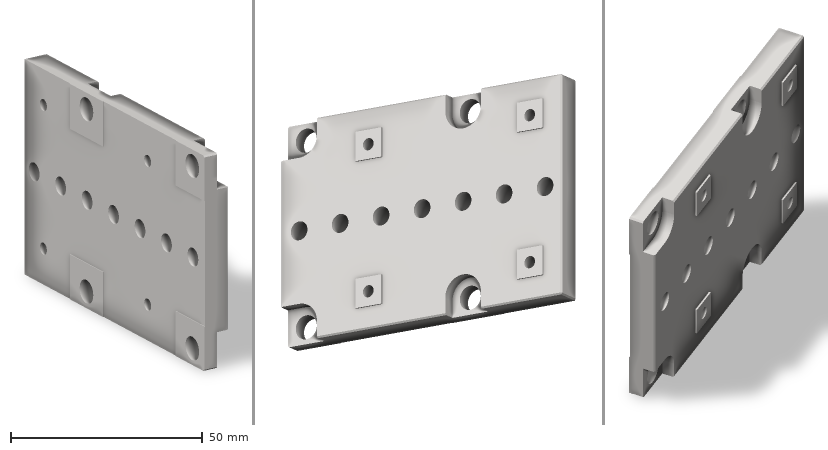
import cadquery as cq

length = 87.0
height = 60.0
total_depth = 8.0
pad_height = 0.2
boss_height = 0.5
plate_depth = total_depth - pad_height - boss_height
edge_chamfer = 0.4

pitch = 12.7
row_count = 7
first_hole_x = 5.05
row_diameter = 5.1

mount_diameter = 6.5
mount_z = 2 * pitch
inner_mount_x = first_hole_x + 2 * pitch
outer_mount_x = first_hole_x + 6 * pitch
recess_diameter = 11.05
recess_depth = 3.5
pad_width = 16.0
pad_length = 12.5

small_diameter = 3.3
small_x = 9.5
small_spacing_x = 50.0
small_z = 20.0
boss_side = 8.0

front_y = 0.0
back_y = front_y + plate_depth
half_height = height / 2


def block(x_start, x_end, y_start, y_end, z_start, z_end):
    """Box between two opposite corners."""
    size = (x_end - x_start, y_end - y_start, z_end - z_start)
    return cq.Workplane("XY").box(*size, centered=False).translate((x_start, y_start, z_start))


def cylinder(x, z, diameter, y_start, y_end):
    """Cylinder along Y."""
    disc = cq.Workplane("XZ", origin=(x, y_start, z)).circle(diameter / 2)
    return disc.extrude(y_start - y_end)


def through_hole(x, z, diameter):
    return cylinder(x, z, diameter, front_y - pad_height, back_y + boss_height)


def both_sides(upper_shape):
    """The shape together with its mirror image below the centre line."""
    return upper_shape.union(upper_shape.mirror("XY"))


def pad(hole_x):
    """Thin front pad around an upper mounting hole, its root sunk into the plate."""
    x_start = hole_x - pad_width / 2
    x_end = min(hole_x + pad_width / 2, length)
    root_y = front_y + edge_chamfer
    shape = block(x_start, x_end, front_y - pad_height, root_y, half_height - pad_length, half_height)
    if x_end == length:
        shape = shape.edges("|Y and >X and >Z").chamfer(edge_chamfer)
    return shape


def recess(hole_x, open_to_end):
    """Round-bottomed back recess, open to the top edge and optionally to the plate end."""
    radius = recess_diameter / 2
    floor_y = back_y - recess_depth
    x_end = length if open_to_end else hole_x + radius
    shape = cylinder(hole_x, mount_z, recess_diameter, floor_y, back_y)
    shape = shape.union(block(hole_x - radius, x_end, floor_y, back_y, mount_z, half_height))
    if open_to_end:
        shape = shape.union(block(hole_x, x_end, floor_y, back_y, mount_z - radius, half_height))
    return shape


def boss(hole_x):
    """Thin square boss on the back face around an upper small hole."""
    half_side = boss_side / 2
    return block(
        hole_x - half_side, hole_x + half_side,
        back_y, back_y + boss_height,
        small_z - half_side, small_z + half_side,
    )


result = block(0, length, front_y, back_y, -half_height, half_height)
broken_edges = result.edges("|Y").add(result.edges(">Y")).add(result.edges("<X and <Y"))
result = broken_edges.chamfer(edge_chamfer)

for mount_x in (inner_mount_x, outer_mount_x):
    at_end = mount_x == outer_mount_x
    result = result.union(both_sides(pad(mount_x)))
    result = result.cut(both_sides(recess(mount_x, at_end)))
    result = result.cut(both_sides(through_hole(mount_x, mount_z, mount_diameter)))

for x in (small_x, small_x + small_spacing_x):
    result = result.union(both_sides(boss(x)))
    result = result.cut(both_sides(through_hole(x, small_z, small_diameter)))

for index in range(row_count):
    result = result.cut(through_hole(first_hole_x + index * pitch, 0, row_diameter))